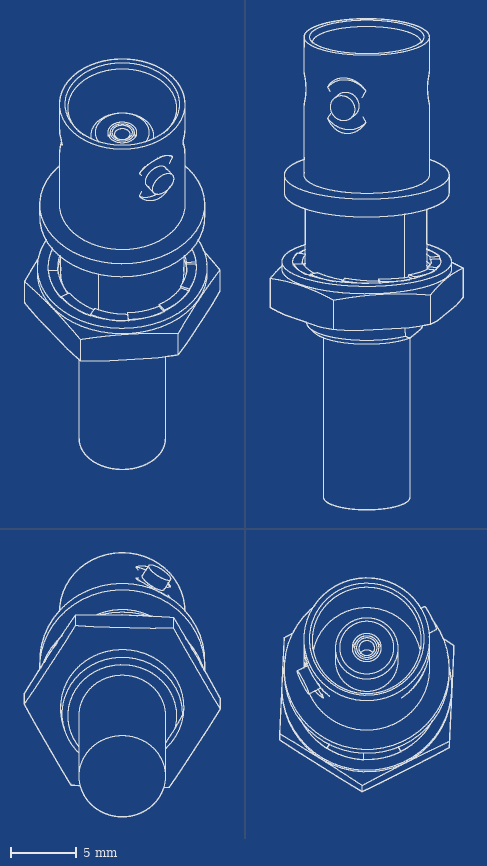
import cadquery as cq
import math

TOTAL_HEIGHT = 36.8
TAIL_TOP = 13.5
THREAD_TAPER_BOTTOM = 13.95
THREAD_TAPER_TOP = 14.95
NUT_BOTTOM = 15.4
NUT_TOP = 18.18
WASHER_BOTTOM = 18.25
WASHER_THICKNESS = 0.6
WASHER_TOP = WASHER_BOTTOM + WASHER_THICKNESS
FLANGE_THICKNESS = 1.45
FLANGE_TOP = 25.75
FLANGE_BOTTOM = FLANGE_TOP - FLANGE_THICKNESS

TAIL_RADIUS = 3.3
THREAD_RADIUS = 4.7
THREAD_TAPER_RADIUS = 4.6
THREAD_END_RADIUS = 4.15
THREAD_FLAT_DISTANCE = 3.97
FLANGE_DIAMETER = 12.62
FLANGE_RADIUS = FLANGE_DIAMETER / 2
SLEEVE_DIAMETER = 9.6
SLEEVE_RADIUS = SLEEVE_DIAMETER / 2

PIN_HEIGHT = 32.68
PIN_RADIUS = 1.0
PIN_TIP_DISTANCE = 5.5
GROOVE_HALF_WIDTH = 1.32
GROOVE_DEPTH = 0.15
SPOTFACE_RADIUS = 2.0
SPOTFACE_TAPER_ANGLE = 40.0
SPOTFACE_DISTANCE = 4.53

BORE_DEPTH = 8.1
BORE_FLOOR = TOTAL_HEIGHT - BORE_DEPTH
BORE_RADIUS = 4.15
BORE_MOUTH_RADIUS = 4.38
BORE_CHAMFER_DEPTH = 0.45
INSULATOR_TOP = 33.67
INSULATOR_TOP_RADIUS = 2.05
INSULATOR_RADIUS = 2.4
INSULATOR_CHAMFER_DEPTH = 0.33
CONTACT_GAP_DEPTH = 1.47
CONTACT_GAP_RADIUS = 1.1
CONTACT_TOP_RADIUS = 0.92
SOCKET_DEPTH = 3.68
SOCKET_RADIUS = 0.6
SOCKET_MOUTH_RADIUS = 0.77
SOCKET_CHAMFER_DEPTH = 0.2

NUT_SIDES = 6
NUT_ACROSS_FLATS = 13.0
NUT_ACROSS_CORNERS = NUT_ACROSS_FLATS / math.cos(math.pi / NUT_SIDES)
NUT_CHAMFER_ANGLE = 15.0
NUT_TOP_FACE_RADIUS = NUT_ACROSS_FLATS / 2
NUT_BOTTOM_FACE_RADIUS = 6.8
WASHER_RADIUS = NUT_ACROSS_FLATS / 2
TOOTH_OUTER_RADIUS = 5.65
TOOTH_INNER_RADIUS = 4.93
TOOTH_COUNT = 12
TOOTH_TILT = 4.0
TOOTH_ANGLE = 360 / TOOTH_COUNT


def revolved(points):
    """Turn a closed outline of (radius, height) points around the Z axis."""
    return cq.Workplane("XZ").polyline(points).close().revolve(360, (0, 0, 0), (0, 1, 0))


def cylinder(radius, bottom, top):
    return cq.Workplane("XY").workplane(offset=bottom).circle(radius).extrude(top - bottom)


def ring(outer_radius, inner_radius, bottom, top):
    return cylinder(outer_radius, bottom, top).cut(cylinder(inner_radius, bottom, top))


def threaded_barrel():
    """Barrel under the flange, tapered at its lower end, with one flat on the -Y side."""
    barrel = revolved([
        (0, TAIL_TOP),
        (THREAD_END_RADIUS, TAIL_TOP),
        (THREAD_TAPER_RADIUS, THREAD_TAPER_BOTTOM),
        (THREAD_RADIUS, THREAD_TAPER_TOP),
        (THREAD_RADIUS, FLANGE_BOTTOM),
        (0, FLANGE_BOTTOM),
    ])
    height = FLANGE_BOTTOM - TAIL_TOP
    beyond_flat = (
        cq.Workplane("XY")
        .box(2 * THREAD_RADIUS, THREAD_RADIUS, height, centered=(True, False, False))
        .translate((0, -THREAD_FLAT_DISTANCE - THREAD_RADIUS, TAIL_TOP))
    )
    return barrel.cut(beyond_flat)


def sleeve():
    """Plain sleeve above the flange with a shallow arc-shaped groove at the pin height."""
    return (
        cq.Workplane("XZ")
        .moveTo(0, FLANGE_TOP)
        .lineTo(SLEEVE_RADIUS, FLANGE_TOP)
        .lineTo(SLEEVE_RADIUS, PIN_HEIGHT - GROOVE_HALF_WIDTH)
        .threePointArc(
            (SLEEVE_RADIUS - GROOVE_DEPTH, PIN_HEIGHT),
            (SLEEVE_RADIUS, PIN_HEIGHT + GROOVE_HALF_WIDTH),
        )
        .lineTo(SLEEVE_RADIUS, TOTAL_HEIGHT)
        .lineTo(0, TOTAL_HEIGHT)
        .close()
        .revolve(360, (0, 0, 0), (0, 1, 0))
    )


def sleeve_bore():
    """Space between the sleeve wall and the chamfered insulator, open at the top."""
    bore = revolved([
        (0, BORE_FLOOR),
        (BORE_RADIUS, BORE_FLOOR),
        (BORE_RADIUS, TOTAL_HEIGHT - BORE_CHAMFER_DEPTH),
        (BORE_MOUTH_RADIUS, TOTAL_HEIGHT),
        (0, TOTAL_HEIGHT),
    ])
    insulator = revolved([
        (0, BORE_FLOOR),
        (INSULATOR_RADIUS, BORE_FLOOR),
        (INSULATOR_RADIUS, INSULATOR_TOP - INSULATOR_CHAMFER_DEPTH),
        (INSULATOR_TOP_RADIUS, INSULATOR_TOP),
        (0, INSULATOR_TOP),
    ])
    return bore.cut(insulator)


def contact_gap():
    """Wedge-shaped ring between the insulator and the centre contact, which narrows upward."""
    return revolved([
        (CONTACT_GAP_RADIUS, INSULATOR_TOP - CONTACT_GAP_DEPTH),
        (CONTACT_GAP_RADIUS, INSULATOR_TOP),
        (CONTACT_TOP_RADIUS, INSULATOR_TOP),
    ])


def contact_socket():
    """Blind hole in the centre contact, with a countersunk mouth."""
    return revolved([
        (0, INSULATOR_TOP - SOCKET_DEPTH),
        (SOCKET_RADIUS, INSULATOR_TOP - SOCKET_DEPTH),
        (SOCKET_RADIUS, INSULATOR_TOP - SOCKET_CHAMFER_DEPTH),
        (SOCKET_MOUTH_RADIUS, INSULATOR_TOP),
        (0, INSULATOR_TOP),
    ])


def spotface_cutter():
    """Cone on the +X side that widens outward from the spotface around the pin."""
    depth = PIN_TIP_DISTANCE - SPOTFACE_DISTANCE
    return (
        cq.Workplane("YZ", origin=(SPOTFACE_DISTANCE, 0, PIN_HEIGHT))
        .circle(SPOTFACE_RADIUS)
        .extrude(depth, taper=-SPOTFACE_TAPER_ANGLE)
    )


def bayonet_pin():
    """Pin on the +X side, rooted inside the sleeve wall."""
    root_distance = (BORE_RADIUS + SPOTFACE_DISTANCE) / 2
    return (
        cq.Workplane("YZ", origin=(root_distance, 0, PIN_HEIGHT))
        .circle(PIN_RADIUS)
        .extrude(PIN_TIP_DISTANCE - root_distance)
    )


def connector():
    body = (
        cylinder(TAIL_RADIUS, 0, TAIL_TOP)
        .union(threaded_barrel())
        .union(cylinder(FLANGE_RADIUS, FLANGE_BOTTOM, FLANGE_TOP))
        .union(sleeve())
        .cut(sleeve_bore())
        .cut(contact_gap())
        .cut(contact_socket())
    )
    for angle in (0, 180):
        body = body.cut(spotface_cutter().rotate((0, 0, 0), (0, 0, 1), angle))
        body = body.union(bayonet_pin().rotate((0, 0, 0), (0, 0, 1), angle))
    return body


def hexagon():
    """Hexagon with its corners on the X axis, chamfered at both ends by cones."""
    slope = math.tan(math.radians(NUT_CHAMFER_ANGLE))
    corner_radius = NUT_ACROSS_CORNERS / 2
    prism = (
        cq.Workplane("XY")
        .workplane(offset=NUT_BOTTOM)
        .polygon(NUT_SIDES, NUT_ACROSS_CORNERS)
        .extrude(NUT_TOP - NUT_BOTTOM)
    )
    chamfer_envelope = revolved([
        (0, NUT_BOTTOM),
        (NUT_BOTTOM_FACE_RADIUS, NUT_BOTTOM),
        (corner_radius, NUT_BOTTOM + slope * (corner_radius - NUT_BOTTOM_FACE_RADIUS)),
        (corner_radius, NUT_TOP - slope * (corner_radius - NUT_TOP_FACE_RADIUS)),
        (NUT_TOP_FACE_RADIUS, NUT_TOP),
        (0, NUT_TOP),
    ])
    return prism.intersect(chamfer_envelope).cut(cylinder(THREAD_RADIUS, NUT_BOTTOM, NUT_TOP))


def washer_tooth():
    """Sector of a ring on the +X axis, tilted about X so that its -Y end is the higher one."""
    reach = 2 * TOOTH_OUTER_RADIUS
    half_width = reach * math.tan(math.radians(TOOTH_ANGLE / 2))
    plate = (
        cq.Workplane("XY")
        .box(2 * reach, 2 * reach, WASHER_THICKNESS)
        .rotate((0, 0, 0), (1, 0, 0), -TOOTH_TILT)
        .translate((0, 0, (WASHER_BOTTOM + WASHER_TOP) / 2))
    )
    wedge = (
        cq.Workplane("XY")
        .workplane(offset=NUT_BOTTOM)
        .polyline([(0, 0), (reach, -half_width), (reach, half_width)])
        .close()
        .extrude(FLANGE_BOTTOM - NUT_BOTTOM)
    )
    sector = wedge.intersect(ring(TOOTH_OUTER_RADIUS, TOOTH_INNER_RADIUS, NUT_BOTTOM, FLANGE_BOTTOM))
    return plate.intersect(sector)


def nut_with_washer():
    """Nut carrying the toothed washer, whose low tooth ends join the top of the nut."""
    body = hexagon().union(ring(WASHER_RADIUS, TOOTH_OUTER_RADIUS, WASHER_BOTTOM, WASHER_TOP))
    tooth = washer_tooth()
    for index in range(TOOTH_COUNT):
        angle = (index + 0.5) * TOOTH_ANGLE
        body = body.union(tooth.rotate((0, 0, 0), (0, 0, 1), angle))
    return body


result = cq.Compound.makeCompound([connector().val(), nut_with_washer().val()])